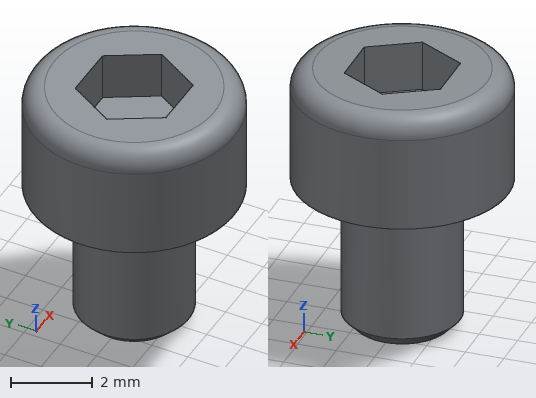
import cadquery as cq
import math

total_length = 7.0
head_diameter = 5.5
head_height = 3.0
head_fillet = 0.55
shank_diameter = 3.0
shank_length = total_length - head_height
tip_chamfer = 0.3
socket_across_flats = 2.5
socket_depth = 1.3


def make_head():
    head = cq.Workplane("XY").circle(head_diameter / 2).extrude(head_height)
    return head.faces(">Z").edges().fillet(head_fillet)


def make_shank():
    shank = cq.Workplane("XY").circle(shank_diameter / 2).extrude(-shank_length)
    return shank.faces("<Z").edges().chamfer(tip_chamfer)


def make_hex_socket():
    across_corners = socket_across_flats / math.cos(math.radians(30))
    socket_top = cq.Workplane("XY").workplane(offset=head_height)
    return socket_top.polygon(6, across_corners).extrude(-socket_depth)


result = make_head().union(make_shank()).cut(make_hex_socket())